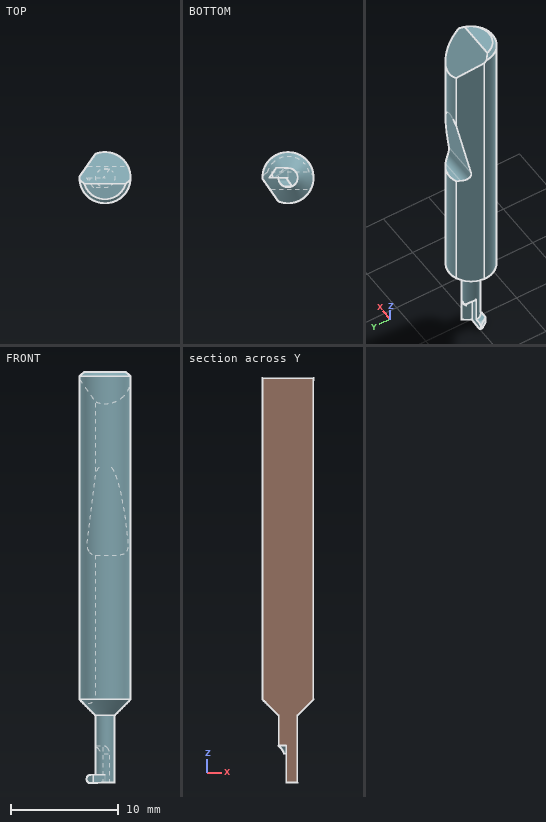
import cadquery as cq
import math

LENGTH = 38.1
SHANK_RADIUS = 2.38
NECK_RADIUS = 0.895
NECK_TOP = 6.3
TOP_CHAMFER = 0.38
MARGIN = 1.9

FLAT_ANGLE = 145.0
FLAT_DISTANCE = 2.0

BEVEL_BOTTOM = 35.15
NOTCH_TOP = 29.7
NOTCH_BOTTOM = 21.1
NOTCH_TILT = 10.0
NOTCH_RADIUS = 1.0

NECK_BOTTOM = 0.08
HEAD_TOP = 0.8
HEAD_REACH = 1.7
TIP_RADIUS = 0.38
RELIEF_FRONT_X = -1.1

POCKET_WALL_DISTANCE = 0.15
POCKET_TOP = 3.5
POCKET_SHOULDER_Y = 0.8
POCKET_RADIUS = 0.75


def make_body():
    """Shank, cone and neck turned about the tool axis."""
    cone_top = NECK_TOP + SHANK_RADIUS - NECK_RADIUS
    profile = [
        (0, NECK_BOTTOM),
        (NECK_RADIUS, NECK_BOTTOM),
        (NECK_RADIUS, NECK_TOP),
        (SHANK_RADIUS, cone_top),
        (SHANK_RADIUS, LENGTH - TOP_CHAMFER),
        (SHANK_RADIUS - TOP_CHAMFER, LENGTH),
        (0, LENGTH),
    ]
    return cq.Workplane("XZ").polyline(profile).close().revolve(360, (0, 0), (0, 1))


def half_space(distance, height):
    """Block beyond a plane parallel to the clamping flat."""
    side = 4 * SHANK_RADIUS
    block = cq.Workplane("XY").box(side, side, height, centered=(False, True, False))
    return block.translate((distance, 0, 0)).rotate((0, 0, 0), (0, 0, 1), FLAT_ANGLE)


def across_x(profile):
    """Closed YZ profile extruded through the full width of the tool."""
    return profile.close().extrude(SHANK_RADIUS + MARGIN, both=True)


def make_bevel():
    """45 degree bevel at the top, on the +Y side."""
    bevel_height = LENGTH + MARGIN - BEVEL_BOTTOM
    outer_y = SHANK_RADIUS + MARGIN
    return across_x(
        cq.Workplane("YZ")
        .moveTo(outer_y, BEVEL_BOTTOM - MARGIN)
        .lineTo(outer_y, LENGTH + MARGIN)
        .lineTo(SHANK_RADIUS - bevel_height, LENGTH + MARGIN)
    )


def make_notch():
    """Tilted right-angled notch with a rounded inner corner."""
    tilt = math.radians(NOTCH_TILT)
    opening = NOTCH_TOP - NOTCH_BOTTOM
    ramp = opening * math.cos(tilt)
    corner_y = SHANK_RADIUS - ramp * math.sin(tilt)
    corner_z = NOTCH_TOP - ramp * math.cos(tilt)
    notch = (
        cq.Workplane("XY")
        .box(4 * SHANK_RADIUS, ramp + MARGIN, 2 * ramp, centered=(True, False, False))
        .edges("<Y and <Z")
        .fillet(NOTCH_RADIUS)
    )
    return notch.rotate((0, 0, 0), (1, 0, 0), -NOTCH_TILT).translate((0, corner_y, corner_z))


def make_head():
    """Rounded cutting tip reaching toward -X, trimmed by the slanted relief face."""
    bar = (
        cq.Workplane("XY")
        .box(HEAD_REACH, NECK_RADIUS, HEAD_TOP, centered=False)
        .translate((-HEAD_REACH, -NECK_RADIUS, 0))
        .edges("|Y and <X")
        .fillet(TIP_RADIUS)
    )
    outline = [(0, 0), (-HEAD_REACH, 0), (RELIEF_FRONT_X, -NECK_RADIUS), (0, -NECK_RADIUS)]
    bar = bar.intersect(cq.Workplane("XY").polyline(outline).close().extrude(HEAD_TOP))
    front_rise = [(0, 0), (-NECK_RADIUS, 0), (-NECK_RADIUS, NECK_BOTTOM)]
    bar = bar.cut(across_x(cq.Workplane("YZ").polyline(front_rise)))
    axial_rise = [(TIP_RADIUS - HEAD_REACH, 0), (0, 0), (0, NECK_BOTTOM)]
    return bar.cut(cq.Workplane("XZ").polyline(axial_rise).close().extrude(NECK_RADIUS))


def make_pocket():
    """Chip pocket from the rake plane up to the wall, with a rounded upper end."""
    half_chord = POCKET_RADIUS * math.sqrt(0.5)
    arc_y = POCKET_SHOULDER_Y - POCKET_RADIUS
    arc_z = POCKET_TOP - POCKET_RADIUS
    side = across_x(
        cq.Workplane("YZ")
        .moveTo(0, 0)
        .lineTo(0, POCKET_TOP)
        .lineTo(arc_y, POCKET_TOP)
        .threePointArc((arc_y + half_chord, arc_z + half_chord), (POCKET_SHOULDER_Y, arc_z))
        .lineTo(NECK_RADIUS + MARGIN, arc_z)
        .lineTo(NECK_RADIUS + MARGIN, 0)
    )
    return side.intersect(half_space(POCKET_WALL_DISTANCE, POCKET_TOP))


result = make_body().cut(half_space(FLAT_DISTANCE, LENGTH))
result = result.cut(make_bevel()).cut(make_notch())
result = result.cut(make_pocket()).union(make_head())